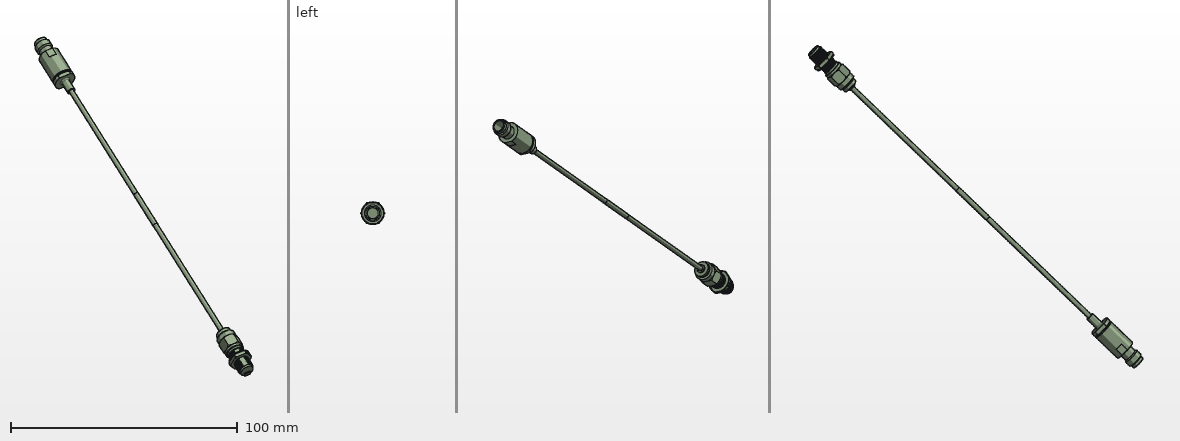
import math

import cadquery as cq


TOTAL_LENGTH = 202.5

CABLE_RADIUS = 1.1
LABEL_RADIUS = 1.17
LABEL_START_X = 93.5
LABEL_END_X = 112.4

TIP_RADIUS = 3.0
LATCH_RADIUS = 3.6
LATCH_START_X = 1.5
LATCH_CHAMFER = 0.5
LATCH_CREST_END_X = 4.5
LATCH_END_X = 5.0
SOCKET_RADIUS = 2.5
SOCKET_DEPTH = 6.0
HOUSING_RADIUS = 4.9
HOUSING_START_X = 8.3
GROOVE_START_X = 21.7
GROOVE_WIDTH = 0.6
GROOVE_RADIUS = 4.3
CAP_END_X = 24.0
CAP_HALF_HEIGHT = 4.0
BOOT_RADIUS = 1.8
BOOT_FILLET = 0.6
BOOT_END_X = 30.2
POCKET_LENGTH = 3.8
POCKET_WIDTH = 3.5
POCKET_DEPTH = 0.3

JACK_START_X = 177.8
CABLE_ENTRY_RADIUS = 1.8
COLLAR_START_X = 178.5
COLLAR_RADIUS = 3.5
COLLAR_END_X = 180.2
COLLAR_NECK_RADIUS = 3.0
BARREL_START_X = 180.8
BARREL_RADIUS = 4.3
HEX_START_X = 183.2
HEX_END_X = 188.7
HEX_WIDTH = 8.3
HEX_BEVEL = 0.6
SHOULDER_START_X = 190.0
SHOULDER_RADIUS = 3.6

THREAD_START_X = 191.0
THREAD_END_X = 200.8
THREAD_DIAMETER = 7.0
THREAD_RADIUS = THREAD_DIAMETER / 2
THREAD_DEPTH = 0.3
THREAD_PITCH = 0.7
FLAT_HEIGHT = 3.0
NOSE_RADIUS = 3.0
NOSE_END_X = 201.9
KEY_TOP_Z = -0.8
KEY_BOTTOM_Z = -2.5
KEY_WIDTH = 2.8

WASHER_RADIUS = 5.0
WASHER_START_X = 194.0
WASHER_THICKNESS = 0.5
NUT_ACROSS_CORNERS = 10.7
NUT_LENGTH = 1.6
NUT_BEVEL = 0.5


def disc(start_x, end_x, radius):
    """Cylinder on the X axis."""
    return cq.Workplane("YZ", origin=(start_x, 0, 0)).circle(radius).extrude(end_x - start_x)


def turned(profile):
    """Solid turned about the X axis from (x, radius) corners, closed along the axis."""
    first_x = profile[0][0]
    last_x = profile[-1][0]
    outline = [(first_x, 0), *profile, (last_x, 0)]
    return cq.Workplane("XY").polyline(outline).close().revolve(360, (0, 0, 0), (1, 0, 0))


def hexagon(start_x, end_x, corner_radius, bevel):
    """Hexagonal prism with flats at +Z and -Z and its corners bevelled at both ends."""
    prism = (
        cq.Workplane("YZ", origin=(start_x, 0, 0)).polygon(6, 2 * corner_radius).extrude(end_x - start_x)
    )
    envelope = disc(start_x, end_x, corner_radius).edges().chamfer(bevel)
    return prism.intersect(envelope)


def make_boot():
    """Cable boot of the plug, flared with a concave fillet where it meets the cap."""
    return (
        cq.Workplane("XY")
        .moveTo(CAP_END_X, 0)
        .lineTo(CAP_END_X, BOOT_RADIUS + BOOT_FILLET)
        .radiusArc((CAP_END_X + BOOT_FILLET, BOOT_RADIUS), -BOOT_FILLET)
        .lineTo(BOOT_END_X, BOOT_RADIUS)
        .lineTo(BOOT_END_X, 0)
        .close()
        .revolve(360, (0, 0, 0), (1, 0, 0))
    )


def make_plug():
    cap_start_x = GROOVE_START_X + GROOVE_WIDTH
    front = turned([
        (0, TIP_RADIUS),
        (LATCH_START_X, TIP_RADIUS),
        (LATCH_START_X + LATCH_CHAMFER, LATCH_RADIUS),
        (LATCH_CREST_END_X, LATCH_RADIUS),
        (LATCH_END_X, TIP_RADIUS),
        (HOUSING_START_X, TIP_RADIUS),
        (HOUSING_START_X, HOUSING_RADIUS),
        (GROOVE_START_X, HOUSING_RADIUS),
        (GROOVE_START_X, GROOVE_RADIUS),
        (cap_start_x, GROOVE_RADIUS),
    ])
    cap = disc(cap_start_x, CAP_END_X, HOUSING_RADIUS)
    between_flats = (
        cq.Workplane("YZ", origin=(cap_start_x, 0, 0))
        .rect(2 * HOUSING_RADIUS, 2 * CAP_HALF_HEIGHT)
        .extrude(CAP_END_X - cap_start_x)
    )
    cap = cap.intersect(between_flats)
    plug = front.union(cap).union(make_boot())
    plug = plug.cut(disc(0, SOCKET_DEPTH, SOCKET_RADIUS))

    pocket_x = HOUSING_START_X + POCKET_LENGTH / 2
    for side in (1, -1):
        pocket = cq.Workplane("XY").box(POCKET_LENGTH, POCKET_WIDTH, 2 * POCKET_DEPTH)
        plug = plug.cut(pocket.translate((pocket_x, 0, side * HOUSING_RADIUS)))
    return plug


def make_cable():
    return disc(BOOT_END_X, JACK_START_X, CABLE_RADIUS)


def make_label():
    return disc(LABEL_START_X, LABEL_END_X, LABEL_RADIUS).cut(make_cable())


def make_thread():
    """Thread drawn as a row of V ridges, with one flat along its top."""
    ridge_count = round((THREAD_END_X - THREAD_START_X) / THREAD_PITCH)
    root_radius = THREAD_RADIUS - THREAD_DEPTH
    profile = [(THREAD_START_X, root_radius)]
    for ridge in range(ridge_count):
        ridge_x = THREAD_START_X + ridge * THREAD_PITCH
        profile.append((ridge_x + THREAD_PITCH / 2, THREAD_RADIUS))
        profile.append((ridge_x + THREAD_PITCH, root_radius))
    thread = turned(profile)
    length = THREAD_END_X - THREAD_START_X
    above_flat = cq.Workplane("XY").box(
        length, 2 * THREAD_RADIUS, THREAD_RADIUS, centered=(False, True, False)
    )
    return thread.cut(above_flat.translate((THREAD_START_X, 0, FLAT_HEIGHT)))


def make_jack():
    body = turned([
        (JACK_START_X, CABLE_ENTRY_RADIUS),
        (COLLAR_START_X, CABLE_ENTRY_RADIUS),
        (COLLAR_START_X, COLLAR_RADIUS),
        (COLLAR_END_X, COLLAR_RADIUS),
        (COLLAR_END_X, COLLAR_NECK_RADIUS),
        (BARREL_START_X, COLLAR_NECK_RADIUS),
        (BARREL_START_X, BARREL_RADIUS),
        (HEX_START_X, BARREL_RADIUS),
    ])
    hex_corner_radius = HEX_WIDTH / math.sqrt(3)
    hex_grip = hexagon(HEX_START_X, HEX_END_X, hex_corner_radius, HEX_BEVEL)
    flange = disc(HEX_END_X, SHOULDER_START_X, BARREL_RADIUS)
    shoulder = disc(SHOULDER_START_X, THREAD_START_X, SHOULDER_RADIUS)
    nose = disc(THREAD_END_X, NOSE_END_X, NOSE_RADIUS)

    key = cq.Workplane("XY").box(
        TOTAL_LENGTH - NOSE_END_X, KEY_WIDTH, KEY_TOP_Z - KEY_BOTTOM_Z, centered=(False, True, False)
    )
    key = key.translate((NOSE_END_X, 0, KEY_BOTTOM_Z))

    nut_start_x = WASHER_START_X + WASHER_THICKNESS
    washer = disc(WASHER_START_X, nut_start_x, WASHER_RADIUS)
    nut = hexagon(nut_start_x, nut_start_x + NUT_LENGTH, NUT_ACROSS_CORNERS / 2, NUT_BEVEL)

    jack = body
    for piece in (hex_grip, flange, shoulder, make_thread(), nose, key, washer, nut):
        jack = jack.union(piece)
    return jack


plug = make_plug()
cable = make_cable()
label = make_label()
jack = make_jack()

result = cq.Compound.makeCompound([plug.val(), cable.val(), label.val(), jack.val()])